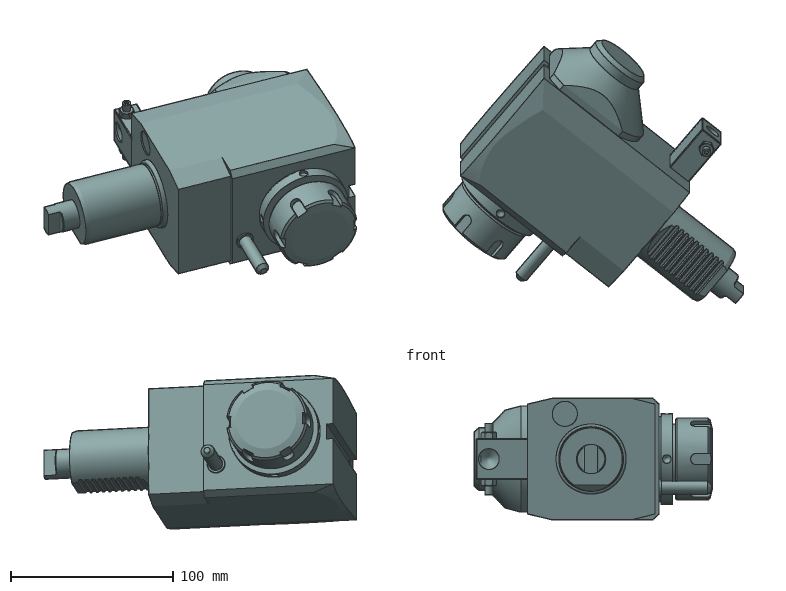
import cadquery as cq
import math


housing_length = 116.0
housing_height = 75.0
half_height = housing_height / 2
edge_half_height = 33.8
left_x = -39.3
left_bevel_x = -23.9
right_x = 42.0
right_bevel_x = 38.0
narrow_length = 34.8
narrow_x = 39.3
narrow_bevel_x = 24.6

crown_points = [
    (left_x, edge_half_height),
    (left_bevel_x, 35.2),
    (-5.6, 36.3),
    (12.8, 36.8),
    (27.3, 36.3),
    (right_bevel_x, 35.0),
    (right_x, edge_half_height),
]
crown_slope = 0.2
crown_reach = 22.5
crown_margin = 7.5

back_slot_width = 9.5
back_slot_depth = 4.1

plug_x = -16.2
plug_z = 27.8
plug_radius = 7.7
plug_depth = 1.0

spindle_y = 80.0
cover_radius = 40.2
cover_flange = 4.0
cap_radius = 19.4
cap_start_x = -63.5
cap_chamfer_x = -69.2
cap_end_x = -72.0
cap_face_radius = 16.7
cover_half_height = 32.7
cover_back = 31.4
cover_taper_x = -43.5
cover_taper_angle = 15.0

seat_radius = 26.3
ring_radius = 28.0
ring_start_x = 43.0
ring_end_x = 50.2
neck_radius = 21.6
nut_radius = 25.4
nut_start_x = 51.9
nut_chamfer = 1.1
nut_shoulder_x = 72.0
nut_lip_x = 73.3
nut_lip_radius = 24.0
nut_end_x = 74.6
nut_face_radius = 18.8

slot_count = 6
slot_width = 7.0
slot_start_x = 61.3
slot_floor_radius = 22.5

ring_hole_count = 4
ring_hole_radius = 2.6
ring_hole_depth = 1.9

pin_y = 42.9
pin_z = -17.7
pin_radius = 4.1
pin_end_x = 74.0
pin_chamfer = 2.3
pin_foot_radius = 5.5
pin_foot_height = 1.3

shank_radius = 20.0
shank_end_y = -53.2
shank_taper_y = -50.5
shank_end_radius = 19.2
collar_radius = 21.6
collar_length = 2.5
collar_rounding = 1.1
groove_radius = 19.5
groove_end_y = -3.8

rack_z = -16.0
rack_depth = 1.3
rack_start_y = -8.3
rack_pitch = 4.0
rack_count = 10
first_gap_y = -11.8
gap_root_width = 1.7
gap_mouth_width = 3.2

drive_radius = 9.0
drive_shoulder_y = -64.1
drive_end_y = housing_length - 188
drive_chamfer = 0.5
tang_width = 7.9
tang_root_fillet = 1.1

block_end_x = -70.9
block_front_y = 0.5
block_back_y = 15.8
block_half_height = 12.6
block_chamfer = 0.5
screw_x = -63.0
screw_y = 6.0
nozzle_radius = 6.4
nozzle_depth = 1.1
inlet_radius = 4.7
inlet_depth = 3.0
inlet_y = 7.5
jet_radius = 1.0
jet_length = 5.6
lock_nut_flats = 8.3
lock_nut_height = 4.0
lock_nut_rounding = 0.8
screw_radius = 2.5
screw_top_z = 22.0
screw_socket_flats = 2.3
screw_socket_depth = 1.5

drill_point_angle = 118.0


def drill(radius, depth, start, direction):
    """Drilled hole with a conical end, as a solid to cut away."""
    point_height = radius / math.tan(math.radians(drill_point_angle / 2))
    axis = cq.Vector(*direction)
    base = cq.Vector(*start)
    bore = cq.Solid.makeCylinder(radius, depth, base, axis)
    point = cq.Solid.makeCone(radius, 0, point_height, base + axis * depth, axis)
    return cq.Workplane(bore).union(cq.Workplane(point))


def turned_on_spindle(profile):
    """Solid of revolution on the spindle axis from (x, radius) points."""
    points = [(x, spindle_y + radius) for x, radius in profile]
    return cq.Workplane("XY").polyline(points).close().revolve(360, (0, spindle_y), (1, spindle_y))


def housing_stretch(side_x, bevel_x, start_y, end_y):
    """Prism along Y with bevelled long edges and its right side at side_x."""
    upper = [
        (left_x, edge_half_height),
        (left_bevel_x, half_height),
        (bevel_x, half_height),
        (side_x, edge_half_height),
    ]
    lower = [(x, -z) for x, z in reversed(upper)]
    section = cq.Workplane("XZ", origin=(0, start_y, 0)).polyline(upper + lower).close()
    return section.extrude(start_y - end_y)


def crown_cutter():
    """Material above the crowned surface that slopes down to the back edge."""
    top_z = half_height + crown_margin
    outline = (
        cq.Workplane("XZ", origin=(0, housing_length, 0))
        .moveTo(*crown_points[0])
        .spline(crown_points[1:], includeCurrent=True)
        .lineTo(right_x, top_z)
        .lineTo(left_x, top_z)
        .close()
        .wire()
    )
    sweep = cq.Vector(0, -crown_reach, crown_reach * crown_slope)
    return cq.Workplane(cq.Solid.extrudeLinear(outline.val(), [], sweep))


def make_housing():
    front = housing_stretch(narrow_x, narrow_bevel_x, 0, narrow_length)
    back = housing_stretch(right_x, right_bevel_x, narrow_length, housing_length)
    crown = crown_cutter()
    body = front.union(back).cut(crown).cut(crown.mirror("XY"))
    back_slot = cq.Workplane("XY").box(2 * housing_length, 2 * back_slot_depth, back_slot_width)
    body = body.cut(back_slot.translate((0, housing_length, 0)))
    plug_recess = cq.Solid.makeCylinder(
        plug_radius, plug_depth, cq.Vector(plug_x, 0, plug_z), cq.Vector(0, 1, 0)
    )
    return body.cut(cq.Workplane(plug_recess))


def make_rear_cover():
    turned = turned_on_spindle([
        (left_x, 0),
        (left_x, cover_radius),
        (left_x - cover_flange, cover_radius),
        (cap_start_x, cap_radius),
        (cap_chamfer_x, cap_radius),
        (cap_end_x, cap_face_radius),
        (cap_end_x, 0),
    ])
    taper_drop = (cover_taper_x - cap_end_x) * math.tan(math.radians(cover_taper_angle))
    upper = [
        (left_x, cover_half_height),
        (cover_taper_x, cover_half_height),
        (cap_end_x, cover_half_height - taper_drop),
    ]
    lower = [(x, -z) for x, z in reversed(upper)]
    envelope = (
        cq.Workplane("XZ", origin=(0, spindle_y + cover_back, 0))
        .polyline(upper + lower)
        .close()
        .extrude(cover_back + cover_radius)
    )
    return turned.intersect(envelope)


def nut_slot():
    """Round-ended spanner slot on the +Z side of the nut."""
    slot_end_x = nut_end_x + slot_width
    return (
        cq.Workplane("XY", origin=((slot_start_x + slot_end_x) / 2, spindle_y, slot_floor_radius))
        .slot2D(slot_end_x - slot_start_x, slot_width)
        .extrude(nut_radius)
    )


def make_spindle_nose():
    nose = turned_on_spindle([
        (right_x, 0),
        (right_x, seat_radius),
        (ring_start_x, seat_radius),
        (ring_start_x, ring_radius),
        (ring_end_x, ring_radius),
        (ring_end_x, neck_radius),
        (nut_start_x, neck_radius),
        (nut_start_x, nut_radius - nut_chamfer),
        (nut_start_x + nut_chamfer, nut_radius),
        (nut_shoulder_x, nut_radius),
        (nut_lip_x, nut_lip_radius),
        (nut_end_x, nut_face_radius),
        (nut_end_x, 0),
    ])
    axis_start = (0, spindle_y, 0)
    axis_end = (1, spindle_y, 0)
    slot = nut_slot()
    for i in range(slot_count):
        angle = 360 / slot_count * (i + 0.5)
        nose = nose.cut(slot.rotate(axis_start, axis_end, angle))
    ring_middle_x = (ring_start_x + ring_end_x) / 2
    hole = drill(ring_hole_radius, ring_hole_depth, (ring_middle_x, spindle_y, ring_radius), (0, 0, -1))
    for i in range(ring_hole_count):
        nose = nose.cut(hole.rotate(axis_start, axis_end, 360 / ring_hole_count * i))
    return nose


def make_locating_pin():
    face = cq.Workplane("YZ", origin=(right_x, pin_y, pin_z))
    pin = face.circle(pin_radius).extrude(pin_end_x - right_x).faces(">X").chamfer(pin_chamfer)
    return pin.union(face.circle(pin_foot_radius).extrude(pin_foot_height))


def rack_cutter():
    """Flat with a 45 degree run-out, and the tooth gaps sunk into it."""
    floor_z = -2 * shank_radius
    flat = [
        (rack_start_y, rack_z),
        (shank_end_y, rack_z),
        (shank_end_y, floor_z),
        (rack_start_y + rack_z - floor_z, floor_z),
    ]
    section = cq.Workplane("YZ")
    cutter = section.polyline(flat).close().extrude(shank_radius, both=True)
    for i in range(rack_count):
        middle = first_gap_y - i * rack_pitch
        gap = [
            (middle - gap_root_width / 2, rack_z + rack_depth),
            (middle + gap_root_width / 2, rack_z + rack_depth),
            (middle + gap_mouth_width / 2, rack_z),
            (middle - gap_mouth_width / 2, rack_z),
        ]
        cutter = cutter.union(section.polyline(gap).close().extrude(shank_radius, both=True))
    return cutter


def make_shank():
    profile = [
        (0, 0),
        (groove_radius, 0),
        (groove_radius, groove_end_y),
        (shank_radius, groove_end_y),
        (shank_radius, shank_taper_y),
        (shank_end_radius, shank_end_y),
        (0, shank_end_y),
    ]
    shank = cq.Workplane("XY").polyline(profile).close().revolve(360, (0, 0), (0, 1))
    collar = cq.Workplane("XZ").circle(collar_radius).extrude(collar_length)
    collar = collar.faces("<Y").edges().fillet(collar_rounding)
    return shank.cut(rack_cutter()).union(collar)


def make_drive_tang():
    face = cq.Workplane("XZ", origin=(0, shank_end_y, 0))
    round_part = face.circle(drive_radius).extrude(shank_end_y - drive_shoulder_y)
    round_part = round_part.faces("<Y").chamfer(drive_chamfer)
    flank = tang_width / 2
    root = flank + tang_root_fillet
    fillet_end_y = drive_shoulder_y - tang_root_fillet
    section = (
        cq.Workplane("XY", origin=(0, 0, -drive_radius))
        .moveTo(-flank, drive_end_y)
        .lineTo(flank, drive_end_y)
        .lineTo(flank, fillet_end_y)
        .radiusArc((root, drive_shoulder_y), tang_root_fillet)
        .lineTo(root, shank_end_y)
        .lineTo(-root, shank_end_y)
        .lineTo(-root, drive_shoulder_y)
        .radiusArc((-flank, fillet_end_y), tang_root_fillet)
        .close()
        .extrude(2 * drive_radius)
    )
    tang = face.circle(drive_radius).extrude(shank_end_y - drive_end_y).intersect(section)
    return round_part.union(tang)


def make_adjusting_screw():
    """Screw and lock nut standing on the top face of the coolant block."""
    face = cq.Workplane("XY", origin=(screw_x, screw_y, block_half_height))
    corner_diameter = lock_nut_flats / math.cos(math.radians(30))
    nut = face.polygon(6, corner_diameter).extrude(lock_nut_height)
    dome = face.circle(corner_diameter / 2).extrude(lock_nut_height).faces(">Z").chamfer(lock_nut_rounding)
    stud = face.circle(screw_radius).extrude(screw_top_z - block_half_height)
    socket_diameter = screw_socket_flats / math.cos(math.radians(30))
    stud = stud.faces(">Z").workplane().polygon(6, socket_diameter).cutBlind(-screw_socket_depth)
    return nut.intersect(dome).union(stud)


def make_coolant_block():
    block = (
        cq.Workplane("XY")
        .box(
            left_x - block_end_x,
            block_back_y - block_front_y,
            2 * block_half_height,
            centered=(False, False, True),
        )
        .translate((block_end_x, block_front_y, 0))
    )
    block = block.faces("<X").edges().chamfer(block_chamfer)
    block = block.edges("|X").chamfer(block_chamfer)
    block = block.cut(drill(nozzle_radius, nozzle_depth, (screw_x, block_front_y, 0), (0, 1, 0)))
    inlet = cq.Workplane("YZ", origin=(block_end_x, inlet_y, 0))
    block = block.cut(inlet.circle(inlet_radius).extrude(inlet_depth))
    block = block.cut(inlet.circle(jet_radius).extrude(jet_length))
    screw = make_adjusting_screw()
    return block.union(screw).union(screw.mirror("XY"))


result = (
    make_housing()
    .union(make_rear_cover())
    .union(make_spindle_nose())
    .union(make_locating_pin())
    .union(make_shank())
    .union(make_drive_tang())
    .union(make_coolant_block())
)